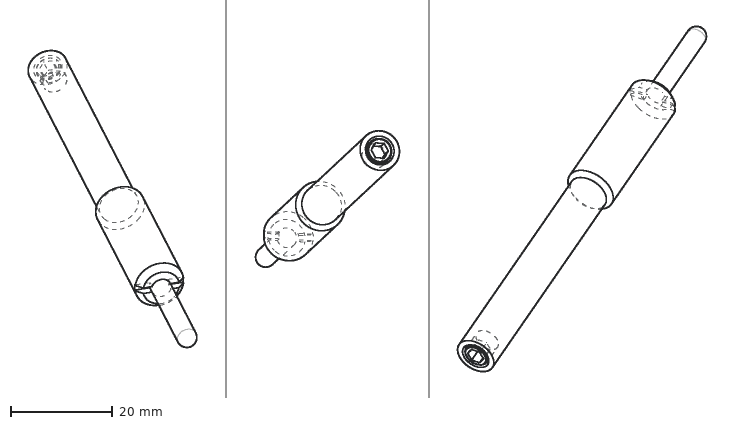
import cadquery as cq

total_length = 100.0
shank_diameter = 8.0
shank_length = 50.0
collar_diameter = 10.0
collar_length = 30.0
shoulder_chamfer = 1.0
front_chamfer = 1.3
pin_diameter = 4.0
tip_radius = pin_diameter / 2

slot_width = 1.3
slot_depth = 1.6

bore_diameter = 5.0
plug_diameter = 4.9
clearance_depth = 5.0
bore_chamfer = 0.4
plug_chamfer = 0.2
hex_across_flats = 3.0
hex_depth = 3.0

collar_end = shank_length + collar_length


def cylinder(start, length, diameter):
    """Solid cylinder along X."""
    return cq.Workplane("YZ", origin=(start, 0, 0)).circle(diameter / 2).extrude(length)


def slotted_collar():
    """Collar with both rims chamfered and a slot across its front face."""
    collar = cylinder(shank_length, collar_length, collar_diameter)
    collar = collar.faces("<X").edges().chamfer(shoulder_chamfer)
    collar = collar.faces(">X").edges().chamfer(front_chamfer)
    slot = cq.Workplane("XY").box(slot_depth, collar_diameter, slot_width)
    return collar.cut(slot.translate((collar_end - slot_depth / 2, 0, 0)))


def pin():
    """Round pin rooted at the slot floor, with a hemispherical tip."""
    root = collar_end - slot_depth
    tip_center = total_length - tip_radius
    tip = cq.Workplane("XY").sphere(tip_radius).translate((tip_center, 0, 0))
    return cylinder(root, tip_center - root, pin_diameter).union(tip)


def plug_clearance():
    """Ring cutter around the plug, widened by the chamfers at its mouth."""
    bore_radius = bore_diameter / 2
    plug_radius = plug_diameter / 2
    profile = [
        (0, plug_radius - plug_chamfer),
        (plug_chamfer, plug_radius),
        (clearance_depth, plug_radius),
        (clearance_depth, bore_radius),
        (bore_chamfer, bore_radius),
        (0, bore_radius + bore_chamfer),
    ]
    return cq.Workplane("XY").polyline(profile).close().revolve(360, (0, 0, 0), (1, 0, 0))


def hex_socket():
    """Hexagonal cutter with two corners on the Y axis."""
    hex_across_corners = hex_across_flats * 2 / 3**0.5
    return cq.Workplane("YZ").polygon(6, hex_across_corners).extrude(hex_depth)


shank = cylinder(0, shank_length, shank_diameter)
result = shank.union(slotted_collar()).union(pin())
result = result.cut(plug_clearance()).cut(hex_socket())